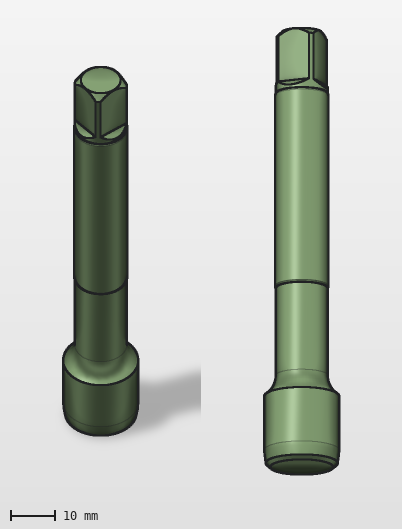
import cadquery as cq
import math

length = 100.0

shaft_radius = 11.7 / 2

sleeve_outer_radius = 12.0 / 2
sleeve_inner_radius = 11.5 / 2
sleeve_bottom = 41.2
sleeve_top = 86.0
sleeve_chamfer_width = 0.15
sleeve_chamfer_height = 0.5

head_radius = 16.8 / 2
head_shoulder_z = 16.3
neck_fillet_radius = 5.7
crown_start_z = 3.9
crown_radius = 13.0
foot_height = 0.9
foot_radius = 7.0

drive_width = 9.0
drive_bottom = 88.1
drive_tip_chamfer = 1.4


def make_shaft_blank():
    """Revolved head and shaft, with the sleeve recess and the chamfered tip."""
    fillet_center_r = shaft_radius + neck_fillet_radius
    fillet_sweep = math.degrees(math.acos((fillet_center_r - head_radius) / neck_fillet_radius))
    fillet_top_z = head_shoulder_z + neck_fillet_radius * math.sin(math.radians(fillet_sweep))

    def fillet_point(degrees):
        angle = math.radians(degrees)
        return (
            fillet_center_r - neck_fillet_radius * math.cos(angle),
            fillet_top_z - neck_fillet_radius * math.sin(angle),
        )

    crown_center_r = head_radius - crown_radius

    def crown_point(z):
        drop = crown_start_z - z
        return (crown_center_r + math.sqrt(crown_radius**2 - drop**2), z)

    crown_middle_z = (crown_start_z + foot_height) / 2

    return (
        cq.Workplane("XZ")
        .moveTo(0, 0)
        .lineTo(foot_radius, 0)
        .lineTo(*crown_point(foot_height))
        .threePointArc(crown_point(crown_middle_z), (head_radius, crown_start_z))
        .lineTo(head_radius, head_shoulder_z)
        .threePointArc(fillet_point(fillet_sweep / 2), (shaft_radius, fillet_top_z))
        .lineTo(shaft_radius, sleeve_bottom)
        .lineTo(sleeve_inner_radius, sleeve_bottom)
        .lineTo(sleeve_inner_radius, sleeve_top)
        .lineTo(shaft_radius, sleeve_top)
        .lineTo(shaft_radius, length - drive_tip_chamfer)
        .lineTo(shaft_radius - drive_tip_chamfer, length)
        .lineTo(0, length)
        .close()
        .revolve(360, (0, 0, 0), (0, 1, 0))
    )


def make_drive_flat_cutter():
    """Prism that cuts the +X drive flat and its 45 degree run-out."""
    flat_x = drive_width / 2
    cutter_reach = shaft_radius
    return (
        cq.Workplane("XZ")
        .moveTo(flat_x, length)
        .lineTo(flat_x, drive_bottom)
        .lineTo(flat_x + cutter_reach, drive_bottom - cutter_reach)
        .lineTo(flat_x + cutter_reach, length)
        .close()
        .extrude(shaft_radius, both=True)
    )


def make_shaft():
    """Complete shaft: the blank with four flats forming the square drive."""
    body = make_shaft_blank()
    cutter = make_drive_flat_cutter()
    for angle in (0, 90, 180, 270):
        body = body.cut(cutter.rotate((0, 0, 0), (0, 0, 1), angle))
    return body.solids()


def make_sleeve():
    """Thin tube with a chamfer around the outside of each end."""
    end_radius = sleeve_outer_radius - sleeve_chamfer_width
    return (
        cq.Workplane("XZ")
        .moveTo(sleeve_inner_radius, sleeve_bottom)
        .lineTo(end_radius, sleeve_bottom)
        .lineTo(sleeve_outer_radius, sleeve_bottom + sleeve_chamfer_height)
        .lineTo(sleeve_outer_radius, sleeve_top - sleeve_chamfer_height)
        .lineTo(end_radius, sleeve_top)
        .lineTo(sleeve_inner_radius, sleeve_top)
        .close()
        .revolve(360, (0, 0, 0), (0, 1, 0))
    )


shaft = make_shaft()
sleeve = make_sleeve()

result = cq.Compound.makeCompound([shaft.val(), sleeve.val()])